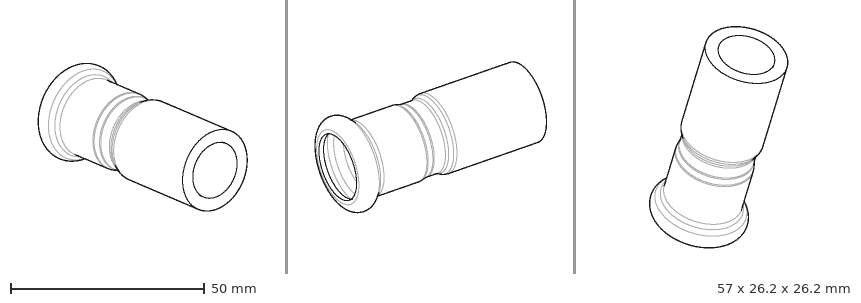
import cadquery as cq
import math

LENGTH = 57.0
WALL = 1.4
BEAD_OUTER_RADIUS = 26.15 / 2
BEAD_ROUND = 2.9
BEAD_SLOPE = math.radians(45)
BEND_RADIUS = 1.95

BODY_RADIUS = 21.0 / 2
NECK_RADIUS = 20.0 / 2
SPIGOT_RADIUS = 22.0 / 2
BODY_END = 20.65
NECK_START = 23.2
NECK_END = 26.6
SPIGOT_START = 29.5

SOCKET_RADIUS = BODY_RADIUS - WALL
SOCKET_DEPTH = BODY_END
BORE_RADIUS = 7.5

BEAD_CENTER = (BEAD_ROUND, BEAD_OUTER_RADIUS - BEAD_ROUND)
ROUND_SUM = BEAD_ROUND + BEND_RADIUS
BEND_CENTER_RADIUS = BODY_RADIUS + BEND_RADIUS
BEND_CENTER_X = BEAD_CENTER[0] + (
    ROUND_SUM - (BEND_CENTER_RADIUS - BEAD_CENTER[1]) * math.cos(BEAD_SLOPE)
) / math.sin(BEAD_SLOPE)
BEND_CENTER = (BEND_CENTER_X, BEND_CENTER_RADIUS)


def polar(center, radius, angle):
    """Point on a circle, with the angle measured from +X."""
    return (center[0] + radius * math.cos(angle), center[1] + radius * math.sin(angle))


def add_bead(profile, offset):
    """Draw the bead from its front tangent to the straight body, offset inwards by the wall."""
    bead_round = BEAD_ROUND - offset
    bend_round = BEND_RADIUS + offset
    flank = math.pi / 2 - BEAD_SLOPE
    bead_middle = (math.pi + flank) / 2
    bend_start = math.pi + flank
    bend_end = 3 * math.pi / 2
    return (
        profile.lineTo(*polar(BEAD_CENTER, bead_round, math.pi))
        .threePointArc(polar(BEAD_CENTER, bead_round, bead_middle), polar(BEAD_CENTER, bead_round, flank))
        .lineTo(*polar(BEND_CENTER, bend_round, bend_start))
        .threePointArc(
            polar(BEND_CENTER, bend_round, (bend_start + bend_end) / 2),
            polar(BEND_CENTER, bend_round, bend_end),
        )
    )


def add_transition(profile, start, end):
    """Join two diameters by a cone with equal tangent bends at both ends."""
    run = end[0] - start[0]
    rise = abs(end[1] - start[1])
    side = math.copysign(1, end[1] - start[1])
    cone_length = math.sqrt(run**2 + rise**2 - 4 * BEND_RADIUS * rise)
    slope = math.atan2(rise - 2 * BEND_RADIUS, run) + math.atan2(2 * BEND_RADIUS, cone_length)

    def bend_offset(angle):
        return BEND_RADIUS * math.sin(angle), side * BEND_RADIUS * (1 - math.cos(angle))

    half_x, half_r = bend_offset(slope / 2)
    full_x, full_r = bend_offset(slope)
    return (
        profile.lineTo(*start)
        .threePointArc((start[0] + half_x, start[1] + half_r), (start[0] + full_x, start[1] + full_r))
        .lineTo(end[0] - full_x, end[1] - full_r)
        .threePointArc((end[0] - half_x, end[1] - half_r), end)
    )


def revolve_about_x(profile):
    return profile.close().revolve(360, (0, 0, 0), (1, 0, 0))


outer = add_bead(cq.Workplane("XY").moveTo(0, 0), 0)
outer = add_transition(outer, (BODY_END, BODY_RADIUS), (NECK_START, NECK_RADIUS))
outer = add_transition(outer, (NECK_END, NECK_RADIUS), (SPIGOT_START, SPIGOT_RADIUS))
outer = revolve_about_x(outer.lineTo(LENGTH, SPIGOT_RADIUS).lineTo(LENGTH, 0))

cavity = cq.Workplane("XY").moveTo(0, 0).lineTo(0, SOCKET_RADIUS).lineTo(WALL, SOCKET_RADIUS)
cavity = add_bead(cavity, WALL)
cavity = (
    cavity.lineTo(SOCKET_DEPTH, SOCKET_RADIUS)
    .lineTo(SOCKET_DEPTH, BORE_RADIUS)
    .lineTo(LENGTH, BORE_RADIUS)
    .lineTo(LENGTH, 0)
)
cavity = revolve_about_x(cavity)

result = outer.cut(cavity)